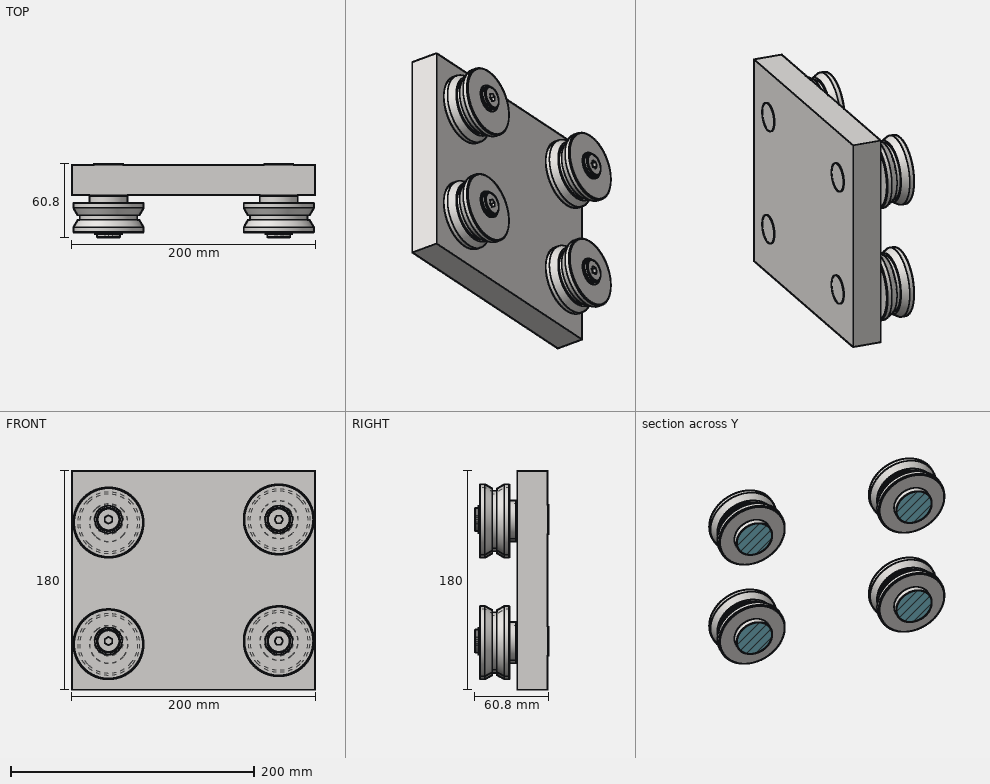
import cadquery as cq

plate_width = 200.0
plate_height = 180.0
plate_thickness = 25.0

axle_x = 70.0
axle_z = 50.0
eccentric_offset = 2.5

rear_disc_diameter = 24.0
rear_disc_thickness = 0.8

shim_diameter = 31.0
shim_thickness = 1.0
spacer_diameter = 31.5
spacer_length = 5.0

roller_diameter = 58.0
roller_width = 25.0
roller_chamfer = 0.8
rim_width = 4.5
groove_floor_diameter = 47.5
groove_floor_width = 3.7
groove_lip_diameter = 50.9

washer_diameter = 22.4
washer_thickness = 1.2
head_diameter = 19.2
head_height = 2.8
head_chamfer = 0.8
socket_sides = 6
socket_across_flats = 6.0
socket_depth = head_height + washer_thickness
left_socket_angle = 0.0
right_socket_angle = 180.0 / socket_sides

spacer_end = shim_thickness + spacer_length
roller_end = spacer_end + roller_width
washer_end = roller_end + washer_thickness
head_end = washer_end + head_height


def disc(diameter, start, length, x, z):
    """Cylinder along -Y that begins the given distance in front of the plate face."""
    plane = cq.Workplane("XZ", origin=(x, -start, z))
    return plane.circle(diameter / 2).extrude(length)


def make_plate():
    plate = cq.Workplane("XY").box(plate_width, plate_thickness, plate_height)
    return plate.translate((0, plate_thickness / 2, 0))


def make_roller(x, z):
    """Roller revolved about its own axis, with a flat-bottomed V groove at mid width."""
    radius = roller_diameter / 2
    lip_radius = groove_lip_diameter / 2
    floor_radius = groove_floor_diameter / 2
    half_width = roller_width / 2
    half_floor = groove_floor_width / 2
    rim_inner = half_width - rim_width
    profile = [
        (0, -half_width),
        (radius - roller_chamfer, -half_width),
        (radius, -half_width + roller_chamfer),
        (radius, -rim_inner),
        (lip_radius, -half_floor),
        (floor_radius, -half_floor),
        (floor_radius, half_floor),
        (lip_radius, half_floor),
        (radius, rim_inner),
        (radius, half_width - roller_chamfer),
        (radius - roller_chamfer, half_width),
        (0, half_width),
    ]
    roller = cq.Workplane("XY").polyline(profile).close().revolve(360, (0, 0), (0, 1))
    return roller.translate((x, -spacer_end - half_width, z))


def make_socket(x, z, angle):
    socket = cq.Workplane("XZ", origin=(x, -head_end, z))
    socket = socket.polygon(socket_sides, socket_across_flats, circumscribed=True)
    return socket.extrude(-socket_depth).rotate((x, 0, z), (x, 1, z), angle)


def make_screw_head(x, z):
    head = disc(head_diameter, washer_end, head_height, x, z)
    return head.faces("<Y").chamfer(head_chamfer)


def make_roller_unit(x, z, offset, socket_angle):
    """Everything carried on one axle; shim, spacer and roller may sit below the axle."""
    roller_z = z - offset
    rear_start = -plate_thickness - rear_disc_thickness
    unit = disc(rear_disc_diameter, rear_start, rear_disc_thickness, x, z)
    pieces = [
        disc(shim_diameter, 0, shim_thickness, x, roller_z),
        disc(spacer_diameter, shim_thickness, spacer_length, x, roller_z),
        make_roller(x, roller_z),
        disc(washer_diameter, roller_end, washer_thickness, x, z),
        make_screw_head(x, z),
    ]
    for piece in pieces:
        unit = unit.union(piece)
    return unit.cut(make_socket(x, z, socket_angle))


sides = [
    (-axle_x, eccentric_offset, left_socket_angle),
    (axle_x, 0.0, right_socket_angle),
]

result = make_plate()
for x, offset, socket_angle in sides:
    for z in (-axle_z, axle_z):
        result = result.union(make_roller_unit(x, z, offset, socket_angle))